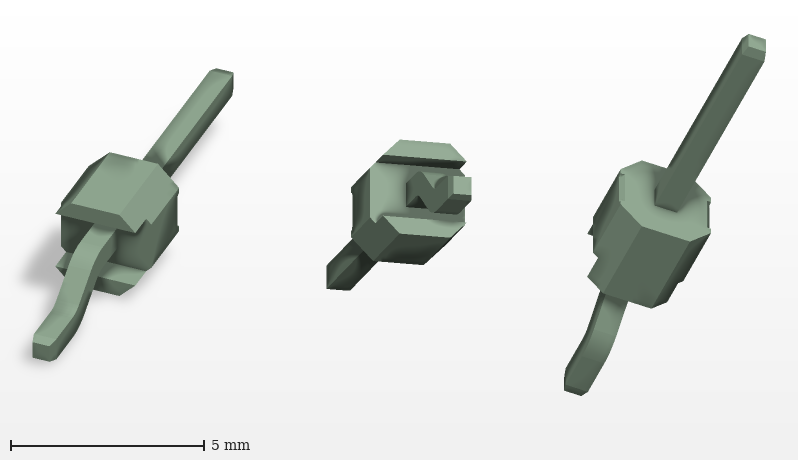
import cadquery as cq
import math

total_length = 12.1
body_size = 2.54

body_back_y = 0.06
body_chamfer = 0.59
lip_thickness = 0.45
lip_length = 0.71

notch_depth = 0.12
notch_height = 1.03
notch_corner_radius = 0.11

pin_width = 0.63
tip_length = 0.27
tip_inset = 0.07
bend_start_y = -2.72
bend_angle = 35.7
bend_radius = 1.02

half_length = total_length / 2
half_body = body_size / 2
half_pin = pin_width / 2


def make_body():
    body = (
        cq.Workplane("XZ", origin=(0, body_back_y, 0))
        .rect(body_size, body_size)
        .extrude(body_size)
        .edges("|Y")
        .chamfer(body_chamfer)
    )
    front_y = body_back_y - body_size
    gap = cq.Workplane("XY").box(body_size, lip_length, body_size - 2 * lip_thickness)
    body = body.cut(gap.translate((0, front_y + lip_length / 2, 0)))
    for side in (-1, 1):
        body = body.cut(make_notch(side))
    return body


def make_notch(side):
    """Triangular prism with rounded corners where it meets the side face."""
    edge_x = side * half_body
    inner_x = edge_x - side * notch_depth
    return (
        cq.Workplane("XY", origin=(0, 0, -notch_height / 2))
        .moveTo(edge_x, body_back_y)
        .lineTo(inner_x, body_back_y)
        .lineTo(edge_x, body_back_y - notch_depth)
        .close()
        .extrude(notch_height)
        .intersect(make_notch_outline())
    )


def make_notch_outline():
    """Block across the body, centred on its back face, with rounded edges along X."""
    return (
        cq.Workplane("XY", origin=(0, body_back_y, 0))
        .box(body_size, 2 * notch_depth, notch_height)
        .edges("|X and <Y")
        .fillet(notch_corner_radius)
    )


def make_tip(root_y, direction, center_z):
    """Tapered pin end, pointing along Y in the given direction."""
    tip_width = pin_width - 2 * tip_inset
    plane = cq.Plane(origin=(0, root_y, center_z), xDir=(1, 0, 0), normal=(0, direction, 0))
    return (
        cq.Workplane(plane)
        .rect(pin_width, pin_width)
        .workplane(offset=tip_length)
        .rect(tip_width, tip_width)
        .loft(ruled=True)
    )


def make_pin():
    foot_z = half_pin - half_body
    angle = math.radians(bend_angle)
    outer_radius = bend_radius + half_pin
    inner_radius = bend_radius - half_pin
    slope_drop = -foot_z - 2 * bend_radius * (1 - math.cos(angle))
    bend_run = 2 * bend_radius * math.sin(angle) + slope_drop / math.tan(angle)
    bend_end_y = bend_start_y - bend_run
    upper_center_z = -bend_radius
    lower_center_z = foot_z + bend_radius

    def upper_point(radius, turn):
        return bend_start_y - radius * math.sin(turn), upper_center_z + radius * math.cos(turn)

    def lower_point(radius, turn):
        return bend_end_y + radius * math.sin(turn), lower_center_z - radius * math.cos(turn)

    back_y = half_length - tip_length
    foot_y = tip_length - half_length
    shaft = (
        cq.Workplane("YZ")
        .moveTo(back_y, half_pin)
        .lineTo(bend_start_y, half_pin)
        .threePointArc(upper_point(outer_radius, angle / 2), upper_point(outer_radius, angle))
        .lineTo(*lower_point(inner_radius, angle))
        .threePointArc(lower_point(inner_radius, angle / 2), lower_point(inner_radius, 0))
        .lineTo(foot_y, foot_z + half_pin)
        .lineTo(foot_y, foot_z - half_pin)
        .lineTo(bend_end_y, foot_z - half_pin)
        .threePointArc(lower_point(outer_radius, angle / 2), lower_point(outer_radius, angle))
        .lineTo(*upper_point(inner_radius, angle))
        .threePointArc(upper_point(inner_radius, angle / 2), upper_point(inner_radius, 0))
        .lineTo(back_y, -half_pin)
        .close()
        .extrude(half_pin, both=True)
    )
    return shaft.union(make_tip(back_y, 1, 0)).union(make_tip(foot_y, -1, foot_z))


result = make_body().union(make_pin())